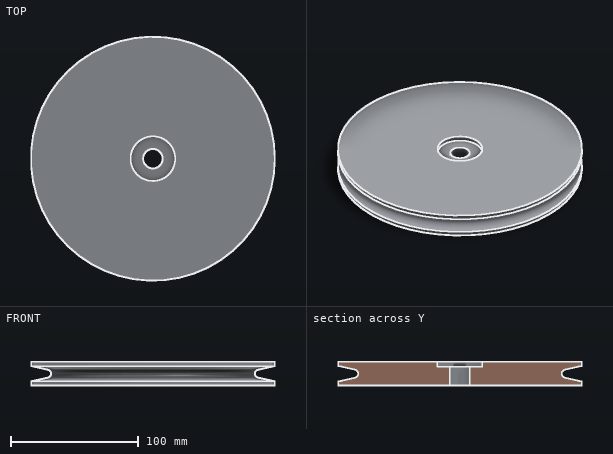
import cadquery as cq
import math

outer_radius = 191 / 2
thickness = 18.7

rim_width = 3.5
groove_depth = 15.7
root_radius = 3.0

bore_diameter = 15.0
recess_diameter = 35.0
recess_depth = 3.8


def wheel_with_groove():
    """Revolve the wheel section, symmetric about the XY plane, around Z."""
    half_thickness = thickness / 2
    half_mouth = half_thickness - rim_width
    root_bottom = outer_radius - groove_depth
    root_center = root_bottom + root_radius

    center_to_mouth_x = outer_radius - root_center
    center_to_mouth = math.hypot(center_to_mouth_x, half_mouth)
    tangent_direction = math.atan2(half_mouth, center_to_mouth_x) + math.acos(root_radius / center_to_mouth)
    tangent_x = root_center + root_radius * math.cos(tangent_direction)
    tangent_z = root_radius * math.sin(tangent_direction)

    return (
        cq.Workplane("XZ")
        .moveTo(0, -half_thickness)
        .lineTo(outer_radius, -half_thickness)
        .lineTo(outer_radius, -half_mouth)
        .lineTo(tangent_x, -tangent_z)
        .threePointArc((root_bottom, 0), (tangent_x, tangent_z))
        .lineTo(outer_radius, half_mouth)
        .lineTo(outer_radius, half_thickness)
        .lineTo(0, half_thickness)
        .close()
        .revolve(360, (0, 0, 0), (0, 1, 0))
    )


def cut_stepped_bore(wheel):
    """Cut the through bore and its round recess in the top face."""
    return wheel.faces(">Z").workplane().cboreHole(bore_diameter, recess_diameter, recess_depth)


result = cut_stepped_bore(wheel_with_groove())